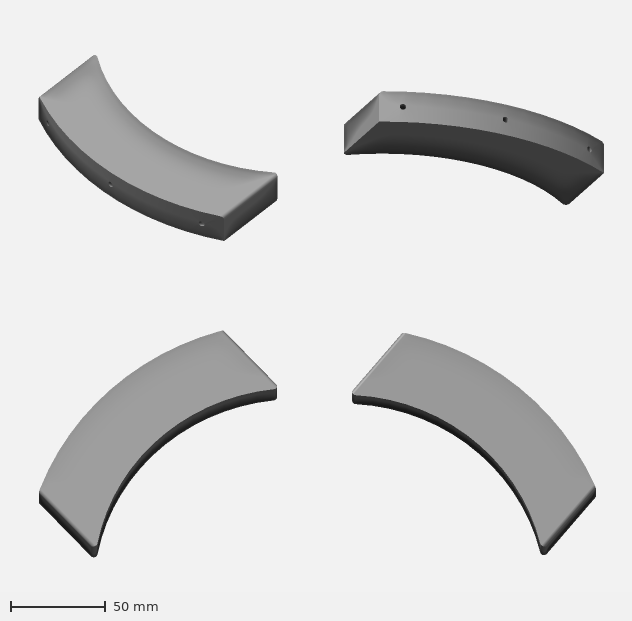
import cadquery as cq
import math

length = 133.0
height = 18.0
half_length = length / 2

outer_radius = 144.0
radial_thickness = 37.5
inner_radius = outer_radius - radial_thickness

end_fillet = 2.0

hole_diameter = 3.3
hole_depth = 13.3
hole_tip_angle = 118.0
hole_spacing_angle = 22.5
hole_height = height / 2


def make_arched_block():
    """Ring segment with flat, parallel ends, bulging toward -Y."""
    outer_end_y = -math.sqrt(outer_radius**2 - half_length**2)
    inner_end_y = -math.sqrt(inner_radius**2 - half_length**2)
    return (
        cq.Workplane("XY")
        .moveTo(-half_length, outer_end_y)
        .threePointArc((0, -outer_radius), (half_length, outer_end_y))
        .lineTo(half_length, inner_end_y)
        .threePointArc((0, -inner_radius), (-half_length, inner_end_y))
        .close()
        .extrude(height)
    )


def round_ends(block):
    """Round the top edge of each end and its corner with the inner face."""
    for end in ("<X", ">X"):
        top_edge = block.faces(end).edges(">Z")
        inner_corner = block.faces(end).edges(">Y")
        block = block.newObject(top_edge.vals() + inner_corner.vals()).fillet(end_fillet)
    return block


def make_hole(angle):
    """Drill shape with a conical tip, turned about Z by the given angle."""
    hole_radius = hole_diameter / 2
    tip_length = hole_radius / math.tan(math.radians(hole_tip_angle / 2))
    wall_end_y = -outer_radius + hole_depth
    start_y = -outer_radius - hole_diameter
    return (
        cq.Workplane("XY")
        .moveTo(0, start_y)
        .lineTo(hole_radius, start_y)
        .lineTo(hole_radius, wall_end_y)
        .lineTo(0, wall_end_y + tip_length)
        .close()
        .revolve(360, (0, 0), (0, 1))
        .translate((0, 0, hole_height))
        .rotate((0, 0, 0), (0, 0, 1), angle)
    )


result = round_ends(make_arched_block())
for hole_angle in (-hole_spacing_angle, 0, hole_spacing_angle):
    result = result.cut(make_hole(hole_angle))